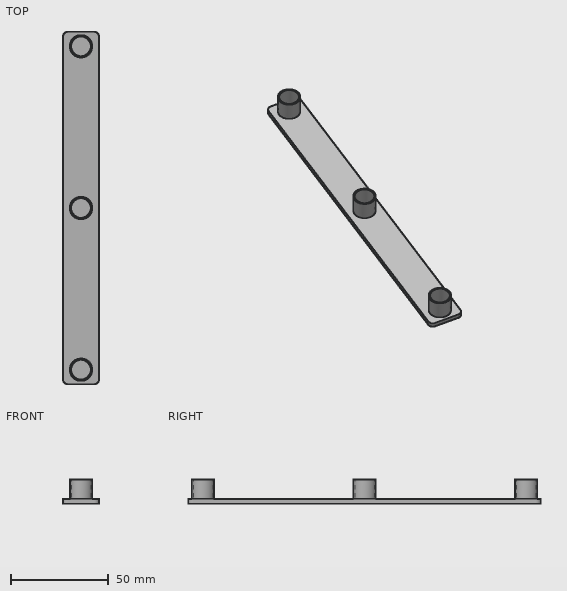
import cadquery as cq

strip_width = 18.5
strip_length = 180.0
strip_thickness = 2.5
corner_radius = 2.5

post_outer_diameter = 11.5
post_inner_diameter = 10.0
post_height = 10.0
post_spacing = 82.55
post_positions = [(0, -post_spacing), (0, 0), (0, post_spacing)]


def make_strip():
    """Flat strip with rounded corners, bottom face on Z = 0."""
    strip = cq.Workplane("XY").box(
        strip_width, strip_length, strip_thickness, centered=(True, True, False)
    )
    return strip.edges("|Z").fillet(corner_radius)


def make_posts():
    """Row of open tubes that start at the top face of the strip."""
    return (
        cq.Workplane("XY")
        .workplane(offset=strip_thickness)
        .pushPoints(post_positions)
        .circle(post_outer_diameter / 2)
        .circle(post_inner_diameter / 2)
        .extrude(post_height)
    )


result = make_strip().union(make_posts())